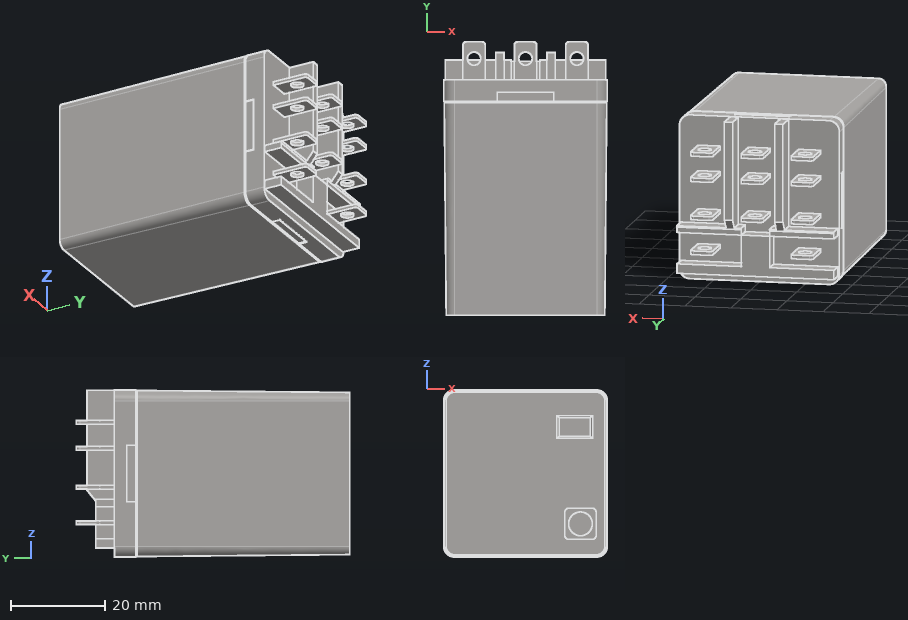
import cadquery as cq


width = 34.8
height = 35.55
length = 58.15
corner_radius = 2.25

flange_back = 50.1
groove_back = 45.5
groove_width = 0.3
groove_depth = 0.2
cover_back = groove_back - groove_width
cover_back_inset = 0.08
cover_front_inset = 0.5

latch_width = 11.9
latch_length = 2.0
latch_depth = 0.25

pin_pitch = 10.95
pin_width = 4.75
pin_thickness = 0.8
pin_corner = 0.7
pin_hole_diameter = 2.8
pin_hole_from_tip = 3.6
pin_columns = (-pin_pitch, 0, pin_pitch)
outer_columns = (-pin_pitch, pin_pitch)
contact_rows = (10.9, 5.35, -2.9)
coil_row = -10.45

rib_thickness = 1.8
rib_top = height / 2 - 0.05
rib_back = 55.9
rib_slope_start = -3.55

housing_width = 34.15
housing_back = 54.05
slope_end = -5.9
housing_top = -5.5
upper_bar_bottom = -7.05
lower_bar_top = -13.85
housing_bottom = -15.9
column_width = 6.15

window_x, window_z = 10.45, 9.9
window_width, window_height = 7.55, 4.9
window_depth = 0.4
window_wall_inset = 0.435
button_x, button_z = 11.7, -10.7
button_side = 6.65
button_corner = 0.8
button_depth = 0.3
button_diameter = 5.05
button_hole_depth = 0.25


def plane_at(y):
    """Plane normal to +Y at the given Y; its local x is -X and its local y is +Z."""
    return cq.Workplane(cq.Plane(origin=(0, y, 0), xDir=(-1, 0, 0), normal=(0, 1, 0)))


def block(x_size, y_range, z_range, x=0):
    """Box centred on x, spanning the given Y and Z ranges."""
    y_size = y_range[1] - y_range[0]
    z_size = z_range[1] - z_range[0]
    corner = (x - x_size / 2, y_range[0], z_range[0])
    return cq.Workplane("XY").box(x_size, y_size, z_size, centered=False).translate(corner)


def rounded_rectangle(inset):
    """Housing outline drawn in by the given inset on every side."""
    return cq.Sketch().rect(width - 2 * inset, height - 2 * inset).vertices().fillet(corner_radius - inset)


def make_cover():
    """Cover tapering towards the front face."""
    front_outline = rounded_rectangle(cover_front_inset)
    back_outline = rounded_rectangle(cover_back_inset).moved(cq.Location((0, 0, cover_back)))
    return plane_at(0).placeSketch(front_outline, back_outline).loft()


def make_rim():
    """Straight rim of the base, with the parting groove and four latch windows."""
    rim = plane_at(groove_back).placeSketch(rounded_rectangle(0)).extrude(flange_back - groove_back)
    groove_floor = plane_at(cover_back).placeSketch(rounded_rectangle(groove_depth)).extrude(groove_width)
    latch_range = (groove_back, groove_back + latch_length)
    half_latch = latch_width / 2
    for side in (-1, 1):
        z_middle = side * height / 2
        z_range = (z_middle - latch_depth, z_middle + latch_depth)
        rim = rim.cut(block(latch_width, latch_range, z_range))
        rim = rim.cut(block(2 * latch_depth, latch_range, (-half_latch, half_latch), side * width / 2))
    return rim.union(groove_floor)


def make_rib(x):
    """Barrier rib that slopes down into the coil terminal housing."""
    outline = [
        (flange_back, rib_top),
        (rib_back, rib_top),
        (rib_back, rib_slope_start),
        (housing_back, slope_end),
        (housing_back, upper_bar_bottom),
        (flange_back, upper_bar_bottom),
    ]
    return (
        cq.Workplane("YZ").workplane(offset=x - rib_thickness / 2)
        .polyline(outline).close().extrude(rib_thickness)
    )


def make_coil_housing():
    """Upper and lower bars joined by a central column; the upper bar slopes like the ribs."""
    slope = (rib_back - housing_back) / (rib_slope_start - slope_end)
    upper_bar_back = housing_back + (housing_top - slope_end) * slope
    upper_outline = [
        (flange_back, housing_top),
        (upper_bar_back, housing_top),
        (housing_back, slope_end),
        (housing_back, upper_bar_bottom),
        (flange_back, upper_bar_bottom),
    ]
    y_range = (flange_back, housing_back)
    upper_bar = (
        cq.Workplane("YZ").workplane(offset=-housing_width / 2)
        .polyline(upper_outline).close().extrude(housing_width)
        .cut(block(column_width, (flange_back, rib_back), (upper_bar_bottom, housing_top)))
    )
    lower_bar = block(housing_width, y_range, (housing_bottom, lower_bar_top))
    column = block(column_width, y_range, (lower_bar_top, upper_bar_bottom))
    return upper_bar.union(lower_bar).union(column)


def make_pin(x, z):
    """Flat blade terminal with rounded tip corners and a round eyelet."""
    eyelet_y = length - pin_hole_from_tip
    blade = block(pin_width, (flange_back, length), (z - pin_thickness / 2, z + pin_thickness / 2), x)
    blade = blade.edges("|Z and >Y").fillet(pin_corner)
    eyelet = (
        cq.Workplane("XY", origin=(x, eyelet_y, z))
        .circle(pin_hole_diameter / 2).extrude(pin_thickness, both=True)
    )
    return blade.cut(eyelet)


def make_window():
    """Indicator window recess with sloping walls."""
    floor_width = window_width - 2 * window_wall_inset
    floor_height = window_height - 2 * window_wall_inset
    return (
        plane_at(0).center(-window_x, window_z).rect(window_width, window_height)
        .workplane(offset=window_depth).rect(floor_width, floor_height).loft()
    )


def make_button():
    """Square recess with a shallow round recess in its floor."""
    square = (
        plane_at(0).center(-button_x, button_z).rect(button_side, button_side)
        .extrude(button_depth).edges("|Y").fillet(button_corner)
    )
    hole = (
        plane_at(button_depth).center(-button_x, button_z)
        .circle(button_diameter / 2).extrude(button_hole_depth)
    )
    return square.union(hole)


result = make_cover().union(make_rim()).cut(make_window()).cut(make_button())
result = result.union(make_coil_housing())
for side in (-1, 1):
    result = result.union(make_rib(side * pin_pitch / 2))
for row in contact_rows:
    for column_x in pin_columns:
        result = result.union(make_pin(column_x, row))
for column_x in outer_columns:
    result = result.union(make_pin(column_x, coil_row))